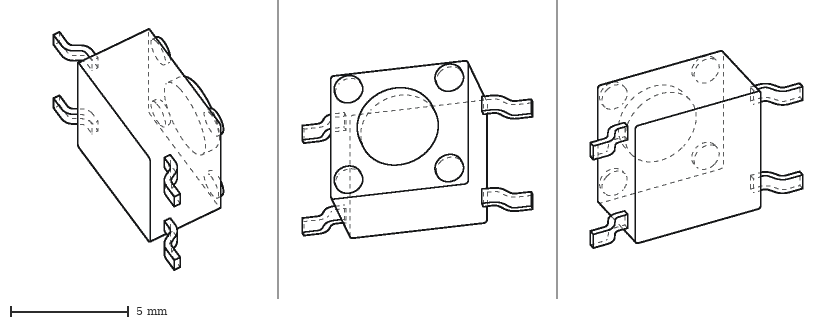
import cadquery as cq
import math

body_side = 6.0
body_depth = 3.5
body_corner_radius = 0.15

button_diameter = 3.4
button_height = 0.8
button_fillet = 0.23

peg_diameter = 1.2
peg_height = 0.3
peg_fillet = 0.1
peg_offset = 2.2

lead_span = 10.0
lead_width = 0.7
lead_thickness = 0.3
lead_rise = 0.7
lead_spacing = 4.5
lead_embed = 0.2
bend_start = 3.42
bend_inner_radius = 0.3
bend_angle = math.radians(60)


def disc(diameter, height, fillet, x=0.0, z=0.0):
    """Round boss rising toward +Y from the top face, with a rounded rim."""
    return (
        cq.Workplane("XZ", origin=(x, body_depth, z))
        .circle(diameter / 2)
        .extrude(-height)
        .faces(">Y")
        .edges()
        .fillet(fillet)
    )


def lead(z):
    """Lead on the +X side: a flat foot, two tangent bends and a flat root."""
    inner_radius = bend_inner_radius
    outer_radius = inner_radius + lead_thickness
    radius_sum = inner_radius + outer_radius
    ramp_rise = lead_rise - radius_sum * (1 - math.cos(bend_angle))
    ramp_run = ramp_rise / math.tan(bend_angle)
    bend_end = bend_start + radius_sum * math.sin(bend_angle) + ramp_run
    root_bottom = lead_rise
    root_top = lead_rise + lead_thickness
    root_x = body_side / 2 - lead_embed
    tip_x = lead_span / 2

    upper_centre_y = root_bottom - inner_radius
    lower_centre_y = outer_radius

    def on_upper_bend(radius, angle):
        return (bend_start + radius * math.sin(angle), upper_centre_y + radius * math.cos(angle))

    def on_lower_bend(radius, angle):
        return (bend_end - radius * math.sin(angle), lower_centre_y - radius * math.cos(angle))

    half_angle = bend_angle / 2
    profile = (
        cq.Workplane("XY", origin=(0, 0, z - lead_width / 2))
        .moveTo(root_x, root_bottom)
        .lineTo(bend_start, root_bottom)
        .threePointArc(on_upper_bend(inner_radius, half_angle), on_upper_bend(inner_radius, bend_angle))
        .lineTo(*on_lower_bend(outer_radius, bend_angle))
        .threePointArc(on_lower_bend(outer_radius, half_angle), (bend_end, 0))
        .lineTo(tip_x, 0)
        .lineTo(tip_x, lead_thickness)
        .lineTo(bend_end, lead_thickness)
        .threePointArc(on_lower_bend(inner_radius, half_angle), on_lower_bend(inner_radius, bend_angle))
        .lineTo(*on_upper_bend(outer_radius, bend_angle))
        .threePointArc(on_upper_bend(outer_radius, half_angle), (bend_start, root_top))
        .lineTo(root_x, root_top)
        .close()
    )
    return profile.extrude(lead_width)


result = (
    cq.Workplane("XZ")
    .rect(body_side, body_side)
    .extrude(-body_depth)
    .edges("|Y")
    .fillet(body_corner_radius)
)

result = result.union(disc(button_diameter, button_height, button_fillet))

for x_side in (-1, 1):
    for z_side in (-1, 1):
        peg = disc(peg_diameter, peg_height, peg_fillet, x_side * peg_offset, z_side * peg_offset)
        result = result.union(peg)

for z_side in (-1, 1):
    right_lead = lead(z_side * lead_spacing / 2)
    result = result.union(right_lead).union(right_lead.mirror("YZ"))